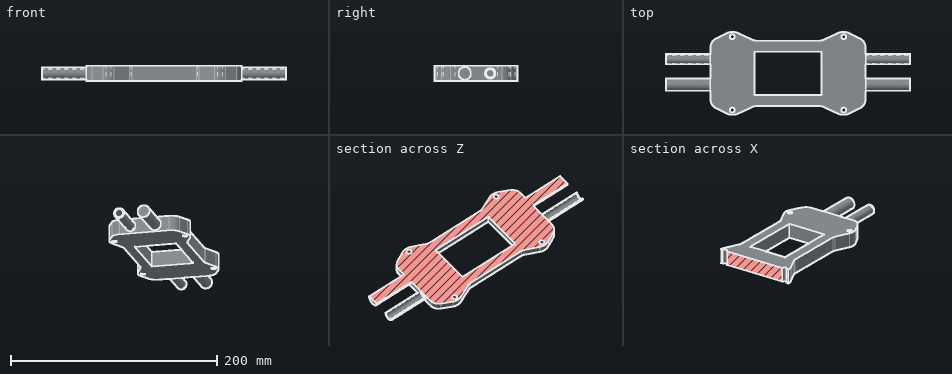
import cadquery as cq

total_length = 237.0
housing_length = 150.8
ear_width = 34.1
waist_width = 63.8
thickness = 15.0

ear_x = 54.0
shoulder_y = 31.0
waist_x = 32.7
ear_peak_y = 41.7
corner_radius = 10.0
ear_radius = 12.3
waist_radius = 6.0

window_length = 65.0
window_width = 41.5
screw_hole_diameter = 4.5
screw_hole_y = 35.5

cable_diameter = 12.0
cable_y = -11.0
tube_diameter = 10.2
tube_bore = 8.0
tube_y = 13.8
stub_length = (total_length - housing_length) / 2


def end_stub(diameter, y, side):
    """Round bar along X that starts on one end face (side is -1 or +1)."""
    end_face = cq.Plane(origin=(side * housing_length / 2, y, 0), xDir=(0, 1, 0), normal=(side, 0, 0))
    return cq.Workplane(end_face).circle(diameter / 2).extrude(stub_length)


def corners_at(x, y):
    """Selector for the four upright edges at (+-x, +-y)."""
    margin = 0.2
    boxes = [
        cq.selectors.BoxSelector(
            (sx * x - margin, sy * y - margin, -thickness),
            (sx * x + margin, sy * y + margin, thickness),
        )
        for sx in (-1, 1)
        for sy in (-1, 1)
    ]
    return boxes[0] + boxes[1] + boxes[2] + boxes[3]


def make_plate():
    """Plate with four rounded ears and a narrower waist."""
    half_length = housing_length / 2
    half_waist = waist_width / 2
    upper_edge = [
        (-half_length, shoulder_y),
        (-ear_x, ear_peak_y),
        (-waist_x, half_waist),
        (waist_x, half_waist),
        (ear_x, ear_peak_y),
        (half_length, shoulder_y),
    ]
    lower_edge = [(x, -y) for x, y in reversed(upper_edge)]
    plate = cq.Workplane("XY").polyline(upper_edge + lower_edge).close().extrude(thickness / 2, both=True)
    plate = plate.edges(corners_at(half_length, shoulder_y)).fillet(corner_radius)
    plate = plate.edges(corners_at(ear_x, ear_peak_y)).fillet(ear_radius)
    return plate.edges(corners_at(waist_x, half_waist)).fillet(waist_radius)


def make_housing():
    """Plate with its window, screw holes and a solid cable stub on each end."""
    window = cq.Workplane("XY").box(window_length, window_width, thickness)
    screw_holes = (
        cq.Workplane("XY")
        .rect(2 * ear_x, 2 * screw_hole_y, forConstruction=True)
        .vertices()
        .circle(screw_hole_diameter / 2)
        .extrude(thickness / 2, both=True)
    )
    housing = make_plate().cut(window).cut(screw_holes)
    for side in (-1, 1):
        housing = housing.union(end_stub(cable_diameter, cable_y, side))
    return housing


def make_tube(side):
    """Open tube that butts against one end face of the housing."""
    return end_stub(tube_diameter, tube_y, side).cut(end_stub(tube_bore, tube_y, side))


housing = make_housing()
tubes = [make_tube(side) for side in (-1, 1)]

result = cq.Compound.makeCompound([housing.val(), *[tube.val() for tube in tubes]])